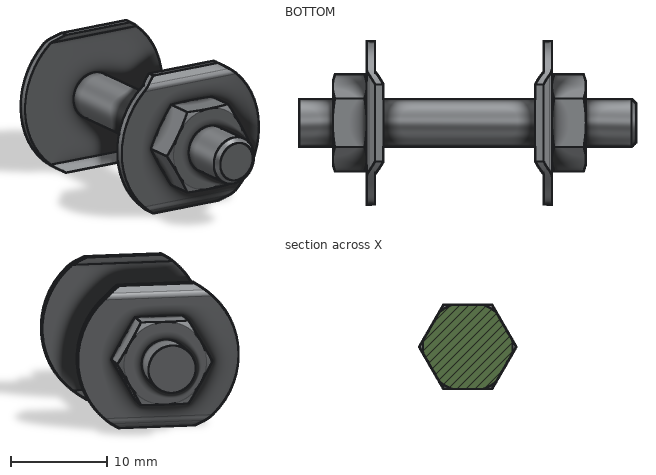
import cadquery as cq
import math

ROD_LENGTH = 35.0
ROD_DIAMETER = 5.0
ROD_CHAMFER = 0.5

NUT_ACROSS_FLATS = 8.75
NUT_THICKNESS = 3.5
NUT_CHAMFER_ANGLE = 18.0
LEFT_NUT_START = 3.5
RIGHT_NUT_START = 26.25

PLATE_DIAMETER = 17.0
PLATE_HEIGHT = 15.0
PLATE_THICKNESS = 0.88
BEND_START_HEIGHT = 6.25
BEND_ANGLE = 45.0
LIP_WIDTH = 0.88

NUT_CORNER_RADIUS = NUT_ACROSS_FLATS / 2 / math.cos(math.radians(30))


def make_rod():
    rod = cq.Workplane("YZ").circle(ROD_DIAMETER / 2).extrude(ROD_LENGTH)
    return rod.faces(">X").chamfer(ROD_CHAMFER)


def make_nut(start):
    """Hexagon prism trimmed by a double cone, which bevels its corners at both ends."""
    end = start + NUT_THICKNESS
    face_radius = NUT_ACROSS_FLATS / 2
    bevel = (NUT_CORNER_RADIUS - face_radius) * math.tan(math.radians(NUT_CHAMFER_ANGLE))
    prism = cq.Workplane("YZ", origin=(start, 0, 0)).polygon(6, 2 * NUT_CORNER_RADIUS)
    envelope = (
        cq.Workplane("XY")
        .moveTo(start, 0)
        .lineTo(start, face_radius)
        .lineTo(start + bevel, NUT_CORNER_RADIUS)
        .lineTo(end - bevel, NUT_CORNER_RADIUS)
        .lineTo(end, face_radius)
        .lineTo(end, 0)
        .close()
        .revolve(360, (0, 0, 0), (1, 0, 0))
    )
    return prism.extrude(NUT_THICKNESS).intersect(envelope)


def make_plate(outer_x, inward):
    """Plate with its outer face at outer_x, bent along X in the direction inward (+1 or -1)."""
    top = PLATE_HEIGHT / 2
    bend = math.radians(BEND_ANGLE)
    radius = PLATE_THICKNESS

    def arc_point(angle):
        return radius * (1 - math.cos(angle)), BEND_START_HEIGHT + radius * math.sin(angle)

    bend_end_x, bend_end_z = arc_point(bend)
    lip_outer_x = bend_end_x + (top - bend_end_z) * math.tan(bend)
    lip_inner_x = lip_outer_x + LIP_WIDTH
    inner_corner_z = top - (lip_inner_x - PLATE_THICKNESS) / math.tan(bend)

    def place(depth, z):
        return outer_x + inward * depth, z

    upper_half = (
        cq.Workplane("XZ")
        .moveTo(*place(0, 0))
        .lineTo(*place(0, BEND_START_HEIGHT))
        .threePointArc(place(*arc_point(bend / 2)), place(bend_end_x, bend_end_z))
        .lineTo(*place(lip_outer_x, top))
        .lineTo(*place(lip_inner_x, top))
        .lineTo(*place(PLATE_THICKNESS, inner_corner_z))
        .lineTo(*place(PLATE_THICKNESS, 0))
        .close()
        .extrude(PLATE_DIAMETER / 2, both=True)
    )
    bent_sheet = upper_half.union(upper_half.mirror("XY"))
    disc = cq.Workplane("YZ").circle(PLATE_DIAMETER / 2).extrude(ROD_LENGTH)
    return bent_sheet.intersect(disc)


result = (
    make_rod()
    .union(make_nut(LEFT_NUT_START))
    .union(make_nut(RIGHT_NUT_START))
    .union(make_plate(LEFT_NUT_START + NUT_THICKNESS, 1))
    .union(make_plate(RIGHT_NUT_START, -1))
)